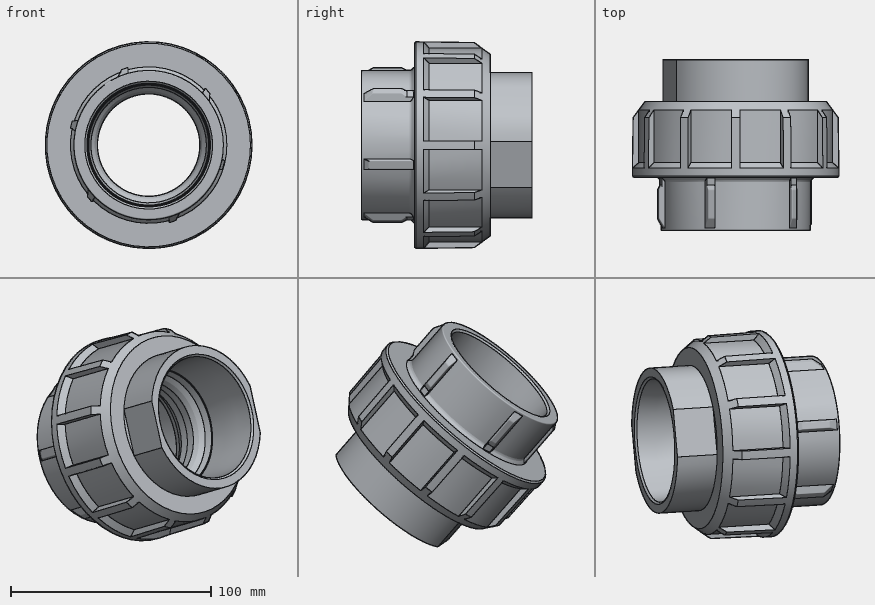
import cadquery as cq
import math


total_length = 85.5
front_y = -total_length / 2
back_y = total_length / 2

nut_radius = 51.7
nut_front_y = -16.2
nut_back_y = 21.8
nut_edge_chamfer = 0.8
nut_back_radius = 45.4
shoulder_radius = 51.3
shoulder_y = 13.8
pocket_mouth_front_y = -11.6
pocket_floor_radius = 48.5
pocket_floor_front_y = -8.8
grip_rib_count = 12
grip_rib_width = 4.3
nut_bore_radius = 39.1
nut_lip_length = 3.9
lip_y = nut_back_y - nut_lip_length

socket_mouth_radius = 32.0
socket_mouth_chamfer = 1.0
socket_end_radius = 30.4
socket_depth = 29.2
socket_stop_radius = 30.0
socket_stop_length = 0.3
throat_radius = 28.9
throat_depth = 33.0
neck_radius = 26.9
neck_depth = 35.4
bore_radius = 25.6
bore_depth = 38.2

front_end_radius = 37.4
front_end_rounding = 0.6
collar_blend_radius = 1.5

parting_angle = 165.0
pull_angle = parting_angle - 90
rib_offset_from_pull = 35.0
rib_base_width = 5.4
rib_top_width = 3.5
rib_top_radius = 40.0
rib_low_radius = 38.8
rib_root_radius = 35.2
rib_low_end_y = -20.0
rib_top_start_y = -22.5
rib_top_end_y = -36.8
rib_end_y = -41.4
rib_edge_rounding = 0.4
rib_bend_rounding = 1.6

back_end_radius = 36.4
flat_angle = 163.5
flat_half_angle = 19.2


def revolve_about_y(outline):
    """Revolve a closed sketch, drawn as radius and Y, about the Y axis."""
    return outline.close().revolve(360, (0, 0), (0, 1))


def turn_about_y(shape, angle):
    """Turn a shape from +X towards +Z by an angle in degrees."""
    return shape.rotate((0, 0, 0), (0, -1, 0), angle)


def waterway():
    """Stepped socket and bore, opening at the front end and running to the middle plane."""
    profile = (
        cq.Workplane("XY")
        .moveTo(0, front_y)
        .lineTo(socket_mouth_radius, front_y)
        .lineTo(socket_mouth_radius - socket_mouth_chamfer, front_y + socket_mouth_chamfer)
        .lineTo(socket_end_radius, front_y + socket_depth)
        .lineTo(socket_stop_radius, front_y + socket_depth + socket_stop_length)
        .lineTo(throat_radius, front_y + throat_depth)
        .lineTo(neck_radius, front_y + neck_depth)
        .lineTo(bore_radius, front_y + bore_depth)
        .lineTo(bore_radius, 0)
        .lineTo(0, 0)
    )
    return revolve_about_y(profile)


def make_nut():
    """Union nut with twelve grip ribs between pockets and an inner lip at its back."""
    blank = revolve_about_y(
        cq.Workplane("XY")
        .moveTo(nut_bore_radius, nut_front_y)
        .lineTo(nut_radius - nut_edge_chamfer, nut_front_y)
        .lineTo(nut_radius, nut_front_y + nut_edge_chamfer)
        .lineTo(shoulder_radius, shoulder_y)
        .lineTo(nut_back_radius, nut_back_y)
        .lineTo(back_end_radius, nut_back_y)
        .lineTo(back_end_radius, lip_y)
        .lineTo(nut_bore_radius, lip_y)
    )
    pocket_depth = nut_radius - pocket_floor_radius
    clear_radius = nut_radius + pocket_depth
    wall_slope = (pocket_floor_front_y - pocket_mouth_front_y) / pocket_depth
    wall_end_y = pocket_floor_front_y - wall_slope * (clear_radius - pocket_floor_radius)
    pockets = revolve_about_y(
        cq.Workplane("XY")
        .moveTo(pocket_floor_radius, pocket_floor_front_y)
        .lineTo(clear_radius, wall_end_y)
        .lineTo(clear_radius, nut_back_y)
        .lineTo(pocket_floor_radius, nut_back_y)
    )
    grip_rib = cq.Workplane("XY").box(clear_radius, total_length, grip_rib_width, centered=(False, True, True))
    for index in range(grip_rib_count):
        pockets = pockets.cut(turn_about_y(grip_rib, index * 360 / grip_rib_count))
    return blank.cut(pockets)


def moulded_rib(angle, lean, crest_radius):
    """Rib along the front end at an angle about Y.

    Its flanks lean by an angle from the radius and it is cut off at the crest radius.
    """
    side_view = (
        cq.Workplane("XY")
        .moveTo(rib_root_radius, nut_front_y)
        .lineTo(rib_low_radius, nut_front_y)
        .lineTo(rib_low_radius, rib_low_end_y)
        .lineTo(rib_top_radius, rib_top_start_y)
        .lineTo(rib_top_radius, rib_top_end_y)
        .lineTo(front_end_radius, rib_end_y)
        .lineTo(rib_root_radius, rib_end_y)
        .close()
        .extrude(total_length / 2, both=True)
        .edges("|Z").edges(">X").fillet(rib_bend_rounding)
    )
    height = rib_top_radius - front_end_radius
    flank_spread = (rib_base_width - rib_top_width) / 2 / height

    def section_point(radius, side):
        rise = radius - front_end_radius
        centre = rise * math.tan(math.radians(lean))
        return radius, centre + side * (rib_base_width / 2 - flank_spread * rise)

    section = (
        cq.Workplane("XZ")
        .polyline([
            section_point(rib_root_radius, -1),
            section_point(crest_radius, -1),
            section_point(crest_radius, 1),
            section_point(rib_root_radius, 1),
        ])
        .close()
        .extrude(total_length / 2)
    )
    return turn_about_y(side_view.intersect(section).edges(">X").fillet(rib_edge_rounding), angle)


def make_front_end():
    """Ribbed socket end whose collar fills the nut bore up to the middle plane."""
    collar_end_y = nut_front_y - (nut_bore_radius - front_end_radius)
    body = revolve_about_y(
        cq.Workplane("XY")
        .moveTo(0, front_y)
        .lineTo(front_end_radius, front_y)
        .lineTo(front_end_radius, collar_end_y)
        .lineTo(nut_bore_radius, nut_front_y)
        .lineTo(nut_bore_radius, 0)
        .lineTo(0, 0)
    )
    body = body.edges(cq.selectors.NearestToPointSelector((0, collar_end_y, 0))).fillet(collar_blend_radius)
    body = body.faces("<Y").edges().fillet(front_end_rounding)
    for half_turn, parting_crest in ((0, rib_top_radius), (180, rib_low_radius)):
        body = body.union(moulded_rib(parting_angle + half_turn, 0, parting_crest))
        for offset in (-rib_offset_from_pull, rib_offset_from_pull):
            body = body.union(moulded_rib(pull_angle + offset + half_turn, -offset, rib_top_radius))
    return body.cut(waterway())


def make_back_end():
    """Plain socket end with two opposite flats and a flange held behind the nut lip."""
    body = revolve_about_y(
        cq.Workplane("XY")
        .lineTo(nut_bore_radius, 0)
        .lineTo(nut_bore_radius, lip_y)
        .lineTo(back_end_radius, lip_y)
        .lineTo(back_end_radius, back_y)
        .lineTo(0, back_y)
    )
    flat_distance = back_end_radius * math.cos(math.radians(flat_half_angle))
    beyond_flat = (
        cq.Workplane("XY")
        .box(back_end_radius, back_y - nut_back_y, 2 * back_end_radius, centered=(False, False, True))
        .translate((flat_distance, nut_back_y, 0))
    )
    for half_turn in (0, 180):
        body = body.cut(turn_about_y(beyond_flat, flat_angle + half_turn))
    return body.cut(waterway().mirror("XZ"))


nut = make_nut()
front_end = make_front_end()
back_end = make_back_end()

result = cq.Compound.makeCompound([nut.val(), front_end.val(), back_end.val()])